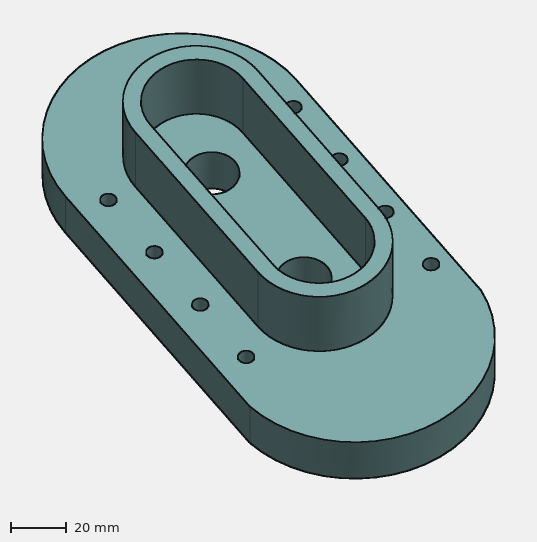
import cadquery as cq

length = 213.7
width = 100.0
plate_height = 20.0
end_radius = width / 2
flat_start = -50.0
flat_end = 70.0
left_tip = flat_start - end_radius
right_tip = left_tip + length

total_height = 50.0
boss_straight = 80.0
boss_width = 53.0
cavity_width = 40.0
cavity_depth = total_height - plate_height

port_diameter = 20.0
port_spacing = 60.0
bolt_diameter = 6.0
bolt_pitch = 30.0
bolt_row_spacing = 80.0
bolt_centre_y = 2.0
bolts_per_row = 4
first_bolt_x = -40.0


def make_plate():
    """Rounded plate with a full round left end and a shallower right end."""
    return (
        cq.Workplane("XY")
        .moveTo(flat_start, -end_radius)
        .lineTo(flat_end, -end_radius)
        .threePointArc((right_tip, 0), (flat_end, end_radius))
        .lineTo(flat_start, end_radius)
        .threePointArc((left_tip, 0), (flat_start, -end_radius))
        .close()
        .extrude(plate_height)
    )


def make_slot(slot_width, bottom, height):
    """Upright round-ended block sharing the boss's end centres."""
    return (
        cq.Workplane("XY")
        .workplane(offset=bottom)
        .slot2D(boss_straight + slot_width, slot_width)
        .extrude(height)
    )


def make_through_holes(points, diameter):
    """Cylinders that cut right through the part at the given points."""
    return cq.Workplane("XY").pushPoints(points).circle(diameter / 2).extrude(total_height)


boss = make_slot(boss_width, 0, total_height)
cavity = make_slot(cavity_width, total_height - cavity_depth, cavity_depth)

port_points = [(side * port_spacing / 2, 0) for side in (-1, 1)]
bolt_points = [
    (first_bolt_x + index * bolt_pitch, bolt_centre_y + side * bolt_row_spacing / 2)
    for index in range(bolts_per_row)
    for side in (-1, 1)
]

result = (
    make_plate()
    .union(boss)
    .cut(cavity)
    .cut(make_through_holes(port_points, port_diameter))
    .cut(make_through_holes(bolt_points, bolt_diameter))
)